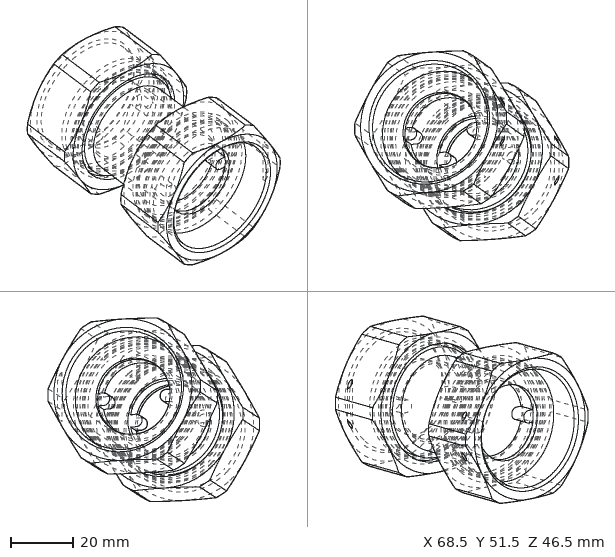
import cadquery as cq
import math


overall_length = 68.5
half_length = overall_length / 2

nut_length = 21.5
hexagon_sides = 6
nut_across_flats = 46.5
nut_corner_diameter = 51.5
nut_bore_diameter = 39.0
nut_mouth_diameter = 40.9
nut_bevel_angle = 30.0
seal_hole_diameter = 1.5
seal_hole_from_end = 5.55
seal_hole_y = 22.95

gasket_recess = 11.2
gasket_thickness = 2.0
waterway_diameter = 25.0

sleeve_bore_diameter = 26.5
sleeve_body_diameter = 31.5
sleeve_collar_diameter = 36.5
sleeve_body_half_length = 11.5
sleeve_cone_angle = 60.0
flange_diameter = 38.9

narrow_bore_length = 6.0
rib_width = 4.1
rib_tip_radius = 8.5

lock_ring_outer_diameter = 41.7
lock_ring_x = 16.45

nut_inner_x = half_length - nut_length
gasket_outer_x = half_length - gasket_recess
sleeve_end_x = gasket_outer_x - gasket_thickness
narrow_bore_inner_x = sleeve_end_x - narrow_bore_length

wire_diameter = (lock_ring_outer_diameter - sleeve_collar_diameter) / 2
lock_ring_middle_r = (lock_ring_outer_diameter + sleeve_collar_diameter) / 4
flange_inner_x = lock_ring_x + wire_diameter / 2


def turned(profile):
    """A solid of revolution around the X axis from (x, radius) points."""
    return cq.Workplane("XY").polyline(profile).close().revolve(360, (0, 0, 0), (1, 0, 0))


def make_ribs():
    """Two round-tipped ribs that point inward from the narrow bore at the +X end."""
    root_r = (sleeve_bore_diameter + waterway_diameter) / 4
    half_width = rib_width / 2
    tip_center = rib_tip_radius + half_width
    rib = (
        cq.Workplane("YZ", origin=(narrow_bore_inner_x, 0, 0))
        .moveTo(root_r, half_width)
        .lineTo(tip_center, half_width)
        .threePointArc((rib_tip_radius, 0), (tip_center, -half_width))
        .lineTo(root_r, -half_width)
        .close()
        .extrude(narrow_bore_length)
    )
    return rib.union(rib.mirror("XZ"))


def make_sleeve():
    body_r = sleeve_body_diameter / 2
    collar_r = sleeve_collar_diameter / 2
    flange_r = flange_diameter / 2
    bore_r = sleeve_bore_diameter / 2
    narrow_r = waterway_diameter / 2
    cone_length = (collar_r - body_r) / math.tan(math.radians(sleeve_cone_angle))
    half_profile = [
        (sleeve_body_half_length, body_r),
        (sleeve_body_half_length + cone_length, collar_r),
        (flange_inner_x, collar_r),
        (flange_inner_x, flange_r),
        (sleeve_end_x, flange_r),
        (sleeve_end_x, narrow_r),
        (narrow_bore_inner_x, narrow_r),
        (narrow_bore_inner_x, bore_r),
    ]
    mirrored_half = [(-x, r) for x, r in reversed(half_profile)]
    ribs = make_ribs()
    return turned(half_profile + mirrored_half).union(ribs).union(ribs.mirror("YZ"))


def make_lock_ring():
    """Round wire ring that sits on the sleeve collar, against the flange, and fills the nut groove."""
    return (
        cq.Workplane("XY")
        .center(lock_ring_x, lock_ring_middle_r)
        .circle(wire_diameter / 2)
        .revolve(360, (-0.7, -lock_ring_middle_r, 0), (0.7, -lock_ring_middle_r, 0))
    )


def make_nut():
    """Hexagon nut at the +X end, with two flats facing up and down."""
    corner_r = nut_corner_diameter / 2
    face_r = nut_across_flats / 2
    bevel_length = (corner_r - face_r) * math.tan(math.radians(nut_bevel_angle))
    half_side_angle = 180 / hexagon_sides
    hexagon = (
        cq.Workplane("YZ", origin=(nut_inner_x, 0, 0))
        .polygon(hexagon_sides, nut_across_flats, circumscribed=True)
        .extrude(nut_length)
        .rotate((0, 0, 0), (1, 0, 0), half_side_angle)
    )
    blank = turned([
        (nut_inner_x, 0),
        (nut_inner_x, face_r),
        (nut_inner_x + bevel_length, corner_r),
        (half_length - bevel_length, corner_r),
        (half_length, face_r),
        (half_length, 0),
    ])
    bore_r = nut_bore_diameter / 2
    mouth_r = nut_mouth_diameter / 2
    bore = turned([
        (nut_inner_x, 0),
        (nut_inner_x, bore_r),
        (half_length - (mouth_r - bore_r), bore_r),
        (half_length, mouth_r),
        (half_length, 0),
    ])
    seal_hole = (
        cq.Workplane("XY")
        .center(half_length - seal_hole_from_end, seal_hole_y)
        .circle(seal_hole_diameter / 2)
        .extrude(nut_across_flats / 2, both=True)
    )
    return hexagon.intersect(blank).cut(bore).cut(seal_hole).cut(make_lock_ring())


def make_gasket():
    return (
        cq.Workplane("YZ", origin=(sleeve_end_x, 0, 0))
        .circle(flange_diameter / 2)
        .circle(waterway_diameter / 2)
        .extrude(gasket_thickness)
    )


bodies = [make_sleeve().val()]
for make_end_part in (make_nut, make_gasket, make_lock_ring):
    end_part = make_end_part()
    bodies.append(end_part.val())
    bodies.append(end_part.mirror("YZ").val())

result = cq.Compound.makeCompound(bodies)